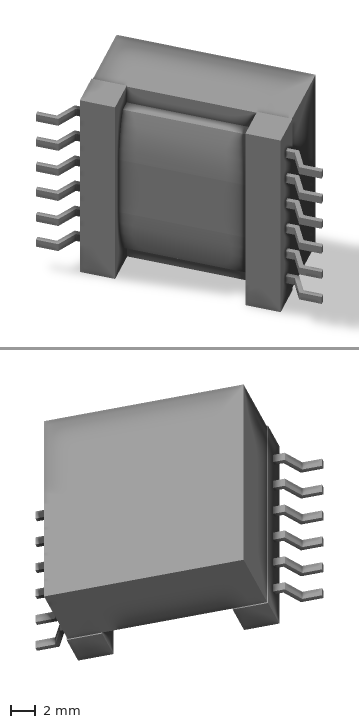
import cadquery as cq
import math

overall_width = 24.13
overall_depth = 9.6

rail_span = 16.95
rail_gap = 11.0
rail_depth = 3.0
rail_height = 17.4
standoff = 0.4

core_width = 16.8
core_height = 17.2
core_front = standoff + rail_depth

winding_height = 14.0
winding_flat_height = 5.3
winding_side_y = 2.4
winding_front_y = 1.4

pins_per_side = 6
pin_pitch = 2.54
pin_height = 0.7
pin_thickness = 0.4
foot_length = 1.9
shoulder_y = 1.7
bend_run = 0.93

tip_x = overall_width / 2
rail_outer_x = rail_span / 2
rail_inner_x = rail_gap / 2


def box_between(x_range, y_range, height):
    """Box over the given X and Y ranges, centred on Z = 0."""
    x0, x1 = x_range
    y0, y1 = y_range
    box = cq.Workplane("XY").box(x1 - x0, y1 - y0, height)
    return box.translate(((x0 + x1) / 2, (y0 + y1) / 2, 0))


def make_core():
    return box_between((-core_width / 2, core_width / 2), (core_front, overall_depth), core_height)


def make_rail():
    """Rail on the +X side."""
    return box_between((rail_inner_x, rail_outer_x), (standoff, core_front), rail_height)


def make_winding():
    """Flat-fronted bulge whose rounded shoulders run tangent into the flat."""
    half_height = winding_height / 2
    half_flat = winding_flat_height / 2
    profile = (
        cq.Workplane("YZ", origin=(-rail_inner_x, 0, 0))
        .moveTo(winding_front_y, -half_flat)
        .lineTo(winding_front_y, half_flat)
        .tangentArcPoint((winding_side_y, half_height), relative=False)
        .lineTo(core_front, half_height)
        .lineTo(core_front, -half_height)
        .lineTo(winding_side_y, -half_height)
    )
    rise = half_height - half_flat
    sagitta = winding_side_y - winding_front_y
    radius = (rise**2 + sagitta**2) / (2 * sagitta)
    half_sweep = math.asin(rise / radius) / 2
    shoulder_middle = (
        winding_front_y + radius * (1 - math.cos(half_sweep)),
        -half_flat - radius * math.sin(half_sweep),
    )
    profile = profile.threePointArc(shoulder_middle, (winding_front_y, -half_flat)).close()
    return profile.extrude(rail_gap)


def make_pin(z_centre):
    """Pin on the +X side: foot, sloping leg and shoulder of one thickness."""
    heel_x = tip_x - foot_length
    knee_x = heel_x - bend_run
    mitre = pin_thickness * math.tan(math.atan2(shoulder_y, bend_run) / 2)
    outline = [
        (tip_x, 0),
        (heel_x, 0),
        (knee_x, shoulder_y),
        (rail_outer_x, shoulder_y),
        (rail_outer_x, shoulder_y + pin_thickness),
        (knee_x + mitre, shoulder_y + pin_thickness),
        (heel_x + mitre, pin_thickness),
        (tip_x, pin_thickness),
    ]
    pin = cq.Workplane("XY").polyline(outline).close().extrude(pin_height)
    return pin.translate((0, 0, z_centre - pin_height / 2))


def make_pinned_rail():
    """Rail on the +X side with its row of pins."""
    side = make_rail()
    for index in range(pins_per_side):
        z_centre = (index - (pins_per_side - 1) / 2) * pin_pitch
        side = side.union(make_pin(z_centre))
    return side


pinned_rail = make_pinned_rail()
result = (
    make_core()
    .union(make_winding())
    .union(pinned_rail)
    .union(pinned_rail.mirror("YZ"))
)